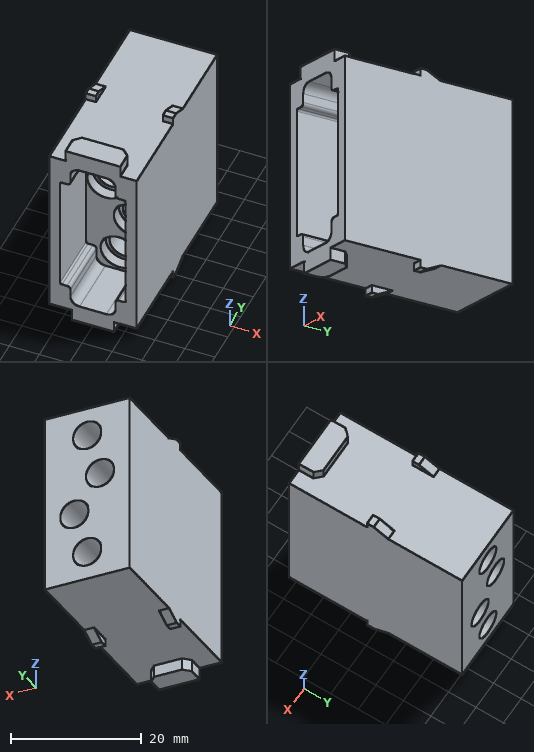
import cadquery as cq

body_width = 14.6
body_depth = 31.5
overall_height = 34.4
tab_height = 2.0
body_height = overall_height - 2 * tab_height
front_y = -body_depth / 2

top_tab_width = 9.1
bottom_tab_width = 7.0
tab_depth = 3.82
tab_chamfer = 1.1

latch_width = 1.72
latch_height = 1.2
latch_front_offset = 14.2
latch_crest_length = 1.2
latch_ramp_length = 2.65

pocket_depth = 10.18
pocket_width = 10.9
pocket_wide_height = 20.95
pocket_narrow_width = 7.5
pocket_height = 28.0
pocket_end_radius = 1.5
pocket_neck_radius = 0.6
pocket_corner_radius = 0.3

hole_diameter = 4.8
counterbore_diameter = 6.12
counterbore_depth = 2.0
outer_hole_z = 10.42
inner_hole_x = 2.2
inner_hole_z = 3.1
hole_centres = [
    (0, outer_hole_z),
    (-inner_hole_x, inner_hole_z),
    (inner_hole_x, -inner_hole_z),
    (0, -outer_hole_z),
]


def front_plane(depth):
    """XZ plane at the given depth behind the front face; positive extrusion goes toward -Y."""
    return cq.Workplane("XZ", origin=(0, front_y + depth, 0))


def make_tab(width, side):
    """Tab on the top (side = 1) or bottom (side = -1) face with chamfered rear corners."""
    centre_y = front_y + tab_depth / 2
    centre_z = side * (body_height + tab_height) / 2
    tab = cq.Workplane("XY").box(width, tab_depth, tab_height)
    tab = tab.edges("|Z and >Y").chamfer(tab_chamfer)
    return tab.translate((0, centre_y, centre_z))


def make_latch(side_x, side_z):
    """Latch flush with a side face: steep front, flat crest, ramp falling toward the rear."""
    base_z = side_z * body_height / 2
    crest_z = base_z + side_z * latch_height
    start_y = front_y + latch_front_offset
    crest_end_y = start_y + latch_crest_length
    profile = [
        (start_y, base_z),
        (start_y, crest_z),
        (crest_end_y, crest_z),
        (crest_end_y + latch_ramp_length, base_z),
    ]
    latch = cq.Workplane("YZ").polyline(profile).close().extrude(latch_width / 2, both=True)
    return latch.translate((side_x * (body_width - latch_width) / 2, 0, 0))


def make_pocket():
    """Wide middle chamber with narrower end lobes and rounded corners."""
    wide = front_plane(pocket_depth).rect(pocket_width, pocket_wide_height).extrude(pocket_depth)
    wide = wide.edges("|Y").fillet(pocket_corner_radius)
    narrow = front_plane(pocket_depth).rect(pocket_narrow_width, pocket_height).extrude(pocket_depth)
    narrow = narrow.edges("|Y").fillet(pocket_end_radius)
    pocket = wide.union(narrow)
    middle_y = front_y + pocket_depth / 2
    for side_x in (-1, 1):
        for side_z in (-1, 1):
            neck = (side_x * pocket_narrow_width / 2, middle_y, side_z * pocket_wide_height / 2)
            pocket = pocket.edges(cq.selectors.NearestToPointSelector(neck)).fillet(pocket_neck_radius)
    return pocket


body = cq.Workplane("XY").box(body_width, body_depth, body_height)
body = body.union(make_tab(top_tab_width, 1)).union(make_tab(bottom_tab_width, -1))
for side_x in (-1, 1):
    for side_z in (-1, 1):
        body = body.union(make_latch(side_x, side_z))

body = body.cut(make_pocket())
holes = front_plane(body_depth).pushPoints(hole_centres).circle(hole_diameter / 2).extrude(body_depth)
counterbores = (
    front_plane(pocket_depth + counterbore_depth)
    .pushPoints(hole_centres)
    .circle(counterbore_diameter / 2)
    .extrude(counterbore_depth)
)
result = body.cut(holes).cut(counterbores)